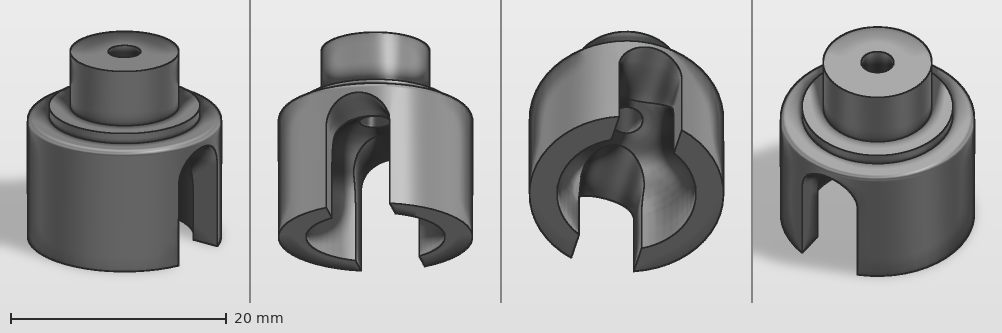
import cadquery as cq

body_diameter = 18.0
body_height = 12.0
rim_fillet = 0.5
collar_diameter = 14.0
collar_top = 13.0
boss_diameter = 10.09
total_height = 18.41
bore_diameter = 3.0
slot_width = 6.0
slot_top = 11.0
cavity_diameter = 12.89
cavity_depth = 11.6

slot_radius = slot_width / 2
slot_spring_height = slot_top - slot_radius
cavity_radius = cavity_diameter / 2
dome_center_height = cavity_depth - cavity_radius


def cylinder(diameter, bottom, top):
    """Vertical cylinder on the Z axis between two heights."""
    return cq.Workplane("XY").workplane(offset=bottom).circle(diameter / 2).extrude(top - bottom)


def arched_slot():
    """Round-topped slot through both walls along X, open at the bottom."""
    return (
        cq.Workplane("YZ")
        .moveTo(-slot_radius, 0)
        .lineTo(-slot_radius, slot_spring_height)
        .threePointArc((0, slot_top), (slot_radius, slot_spring_height))
        .lineTo(slot_radius, 0)
        .close()
        .extrude(body_diameter, both=True)
    )


def domed_cavity():
    """Cylindrical cavity from the bottom, closed by a hemispherical ceiling."""
    dome = cq.Workplane("XY").sphere(cavity_radius).translate((0, 0, dome_center_height))
    return cylinder(cavity_diameter, 0, dome_center_height).union(dome)


cap = cylinder(body_diameter, 0, body_height).faces(">Z").edges().fillet(rim_fillet)
collar = cylinder(collar_diameter, body_height, collar_top)
boss = cylinder(boss_diameter, collar_top, total_height)
body = cap.union(collar).union(boss)

bore = cylinder(bore_diameter, 0, total_height)
result = body.cut(domed_cavity()).cut(arched_slot()).cut(bore)